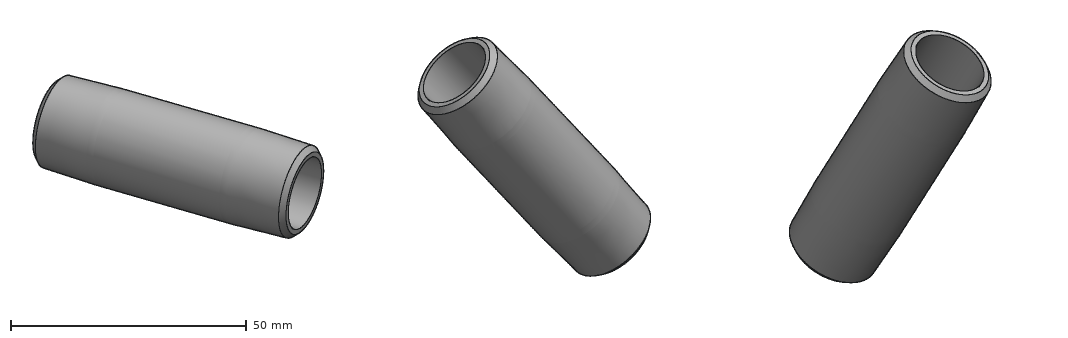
import cadquery as cq

length = 60.0
outer_radius = 21.3 / 2
bore_radius = 8.0

gauge_length = 8.2
gauge_radius = 20.955 / 2
radius_per_length = 1 / 32
thread_length = 13.4

runout_length = 1.65

chamfer_length = 1.2
end_face_radius = 9.1


def taper_radius(distance):
    """Radius of the thread taper at a distance from the end face."""
    return gauge_radius + (distance - gauge_length) * radius_per_length


def tube_profile():
    """Wall section above the tube axis, from one end face to the other."""
    end_x = length / 2

    right_end = [
        (end_x - thread_length - runout_length, outer_radius),
        (end_x - thread_length, taper_radius(thread_length)),
        (end_x - chamfer_length, taper_radius(chamfer_length)),
        (end_x, end_face_radius),
        (end_x, bore_radius),
    ]
    left_end = [(-x, radius) for x, radius in reversed(right_end)]
    return cq.Workplane("XZ").polyline(left_end + right_end).close()


result = tube_profile().revolve(360, (0, 0, 0), (1, 0, 0))